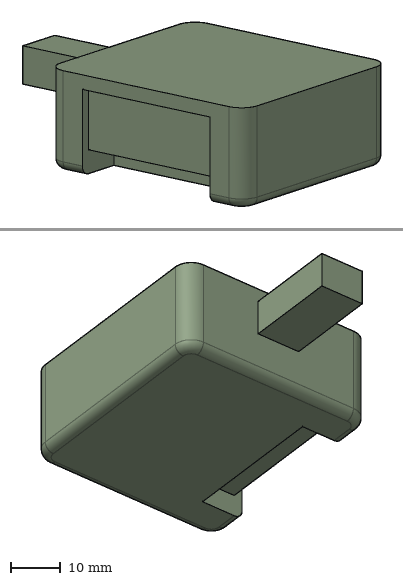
import cadquery as cq

overall_length = 72
body_length = 51.0
body_width = 46.0
body_height = 21.0
corner_radius = 4.0
bottom_fillet = 2.0

plug_length = overall_length - body_length
plug_width = 10.2
plug_height = 8.0
top_wall = 3.0

recess_length = 33.0
recess_start = 9.0
recess_depth = 2.0

undercut_height = 5.0
undercut_depth = 10.0


def make_body():
    block = cq.Workplane("XY").box(body_length, body_width, body_height, centered=(False, True, False))
    return block.edges("|Z").fillet(corner_radius).faces("<Z").edges().fillet(bottom_fillet)


def make_plug():
    plug = cq.Workplane("XY").box(plug_length, plug_width, plug_height, centered=(False, True, False))
    return plug.translate((-plug_length, 0, body_height - top_wall - plug_height))


def make_front_cut(depth, height):
    """Cut running back from the front wall and up from the bottom."""
    cut = cq.Workplane("XY").box(recess_length, depth, height, centered=False)
    return cut.translate((recess_start, -body_width / 2, 0))


recess = make_front_cut(recess_depth, body_height - top_wall)
undercut = make_front_cut(undercut_depth, undercut_height)
result = make_body().union(make_plug()).cut(recess).cut(undercut)